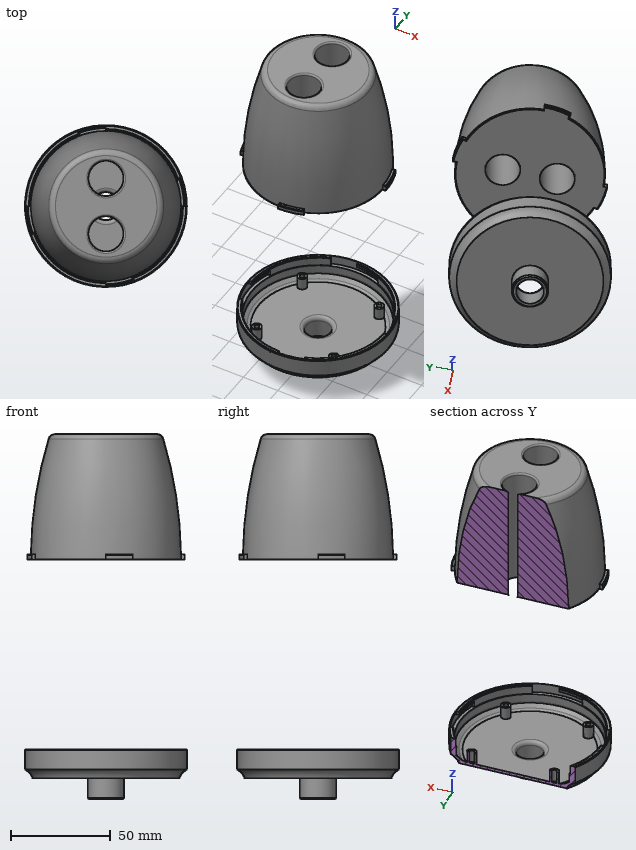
import cadquery as cq
import math

base_radius = 40.6
rim_z = 25.0
edge_break = 0.45
rim_wall = 2.4
rim_inner_radius = base_radius - rim_wall
seat_width = 0.4
lower_inner_radius = rim_inner_radius - seat_width
rim_foot_z = 15.5
rim_foot_height = 0.7
rim_foot_inset = 0.2
cove_depth = 0.5
underside_radius = 36.8
underside_z = 10.5
floor_z = 12.5
floor_radius = 33.9
floor_corner_radius = 35.7
floor_corner_rise = 0.7

spout_radius = 9.2
spout_chamfer = 0.7
bore_radius = 7.0
bore_fillet = spout_radius - bore_radius

boss_count = 4
boss_start_angle = 45
boss_ring_radius = 31.7
boss_radius = 2.5
boss_hole_radius = 1.3
boss_top_z = 19.2

lug_count = 4
lug_angle = 20.0
lug_height = 3.0
lug_radius = 39.5
slot_clearance = 0.4
slot_clearance_angle = 0.8
slot_floor_z = 20.0
slot_radius = lug_radius + slot_clearance
slot_height = lug_height + slot_clearance

cap_bottom_z = 119.9
cap_top_z = 183.0
cap_radius = 37.7
cap_top_radius = 28.0
cap_edge_fillet = 3.5
cap_hole_radius = 8.8
cap_hole_offset = 13.9
cap_hole_fillet = 1.0


def disc(radius, bottom, top):
    return cq.Workplane("XY").workplane(offset=bottom).circle(radius).extrude(top - bottom)


def sector(radius, start_angle, end_angle, bottom, top):
    """Pie slice around the Z axis between two angles in degrees."""

    def rim_point(angle):
        return radius * math.cos(math.radians(angle)), radius * math.sin(math.radians(angle))

    return (
        cq.Workplane("XY").workplane(offset=bottom)
        .lineTo(*rim_point(start_angle))
        .threePointArc(rim_point((start_angle + end_angle) / 2), rim_point(end_angle))
        .close()
        .extrude(top - bottom)
    )


def spin_copies(shape, count, start_angle=0):
    """Copies of a shape spaced evenly around the Z axis."""
    return [
        shape.rotate((0, 0, 0), (0, 0, 1), start_angle + 360 / count * i)
        for i in range(count)
    ]


def revolve_profile(profile):
    return profile.close().revolve(360, (0, 0, 0), (0, 1, 0))


def make_cup():
    """Thin-walled dish with a straight rim, a hollow-curved underside and a bored spout."""
    cove_start_radius = base_radius - rim_foot_inset
    cove_start_z = rim_foot_z - rim_foot_height
    return revolve_profile(
        cq.Workplane("XZ")
        .moveTo(bore_radius, 0)
        .lineTo(spout_radius - spout_chamfer, 0)
        .lineTo(spout_radius, spout_chamfer)
        .lineTo(spout_radius, underside_z)
        .lineTo(underside_radius, underside_z)
        .sagittaArc((cove_start_radius, cove_start_z), cove_depth)
        .lineTo(base_radius, rim_foot_z)
        .lineTo(base_radius, rim_z - edge_break)
        .lineTo(base_radius - edge_break, rim_z)
        .lineTo(rim_inner_radius + edge_break, rim_z)
        .lineTo(rim_inner_radius, rim_z - edge_break)
        .lineTo(rim_inner_radius, slot_floor_z)
        .lineTo(lower_inner_radius, slot_floor_z)
        .lineTo(lower_inner_radius, rim_foot_z)
        .lineTo(lower_inner_radius - rim_foot_inset, cove_start_z)
        .lineTo(floor_corner_radius, floor_z + floor_corner_rise)
        .lineTo(floor_radius, floor_z)
        .lineTo(bore_radius + bore_fillet, floor_z)
        .radiusArc((bore_radius, floor_z - bore_fillet), -bore_fillet)
    )


def add_bosses(base):
    boss = disc(boss_radius, floor_z, boss_top_z).translate((boss_ring_radius, 0, 0))
    hole = disc(boss_hole_radius, floor_z, boss_top_z).translate((boss_ring_radius, 0, 0))
    for boss_copy in spin_copies(boss, boss_count, boss_start_angle):
        base = base.union(boss_copy)
    for hole_copy in spin_copies(hole, boss_count, boss_start_angle):
        base = base.cut(hole_copy)
    return base


def cut_bayonet_slots(base):
    """Each slot opens upward over one lug width and runs on under the rim."""
    reach = lug_angle + slot_clearance_angle
    entry = sector(slot_radius, 0, reach, slot_floor_z, rim_z)
    undercut = sector(slot_radius, -reach, reach, slot_floor_z, slot_floor_z + slot_height)
    for slot in spin_copies(entry.union(undercut), lug_count):
        base = base.cut(slot)
    return base


def make_base():
    base = add_bosses(make_cup())
    return cut_bayonet_slots(base)


def make_cap_body():
    """Domed body whose side is an arc that leaves the foot straight up."""
    height = cap_top_z - cap_bottom_z
    inset = cap_radius - cap_top_radius
    side_radius = (height**2 + inset**2) / (2 * inset)
    half_angle = math.asin(height / side_radius) / 2
    side_middle = (
        cap_radius - side_radius * (1 - math.cos(half_angle)),
        cap_bottom_z + side_radius * math.sin(half_angle),
    )
    body = revolve_profile(
        cq.Workplane("XZ")
        .moveTo(0, cap_bottom_z)
        .lineTo(cap_radius, cap_bottom_z)
        .threePointArc(side_middle, (cap_top_radius, cap_top_z))
        .lineTo(0, cap_top_z)
    )
    return body.faces(">Z").edges().fillet(cap_edge_fillet).faces("<Z").edges().chamfer(edge_break)


def add_lugs(cap):
    lug_top_z = cap_bottom_z + lug_height
    lug = sector(lug_radius, 0, lug_angle, cap_bottom_z, lug_top_z)
    lug = lug.edges("%CIRCLE").chamfer(edge_break)
    for lug_copy in spin_copies(lug, lug_count):
        cap = cap.union(lug_copy)
    return cap


def cut_cap_holes(cap):
    for side in (-1, 1):
        hole = disc(cap_hole_radius, cap_bottom_z, cap_top_z)
        cap = cap.cut(hole.translate((0, side * cap_hole_offset, 0)))
    hole_rims = cap.faces(">Z").edges(cq.selectors.RadiusNthSelector(0))
    return hole_rims.fillet(cap_hole_fillet)


def make_cap():
    return cut_cap_holes(add_lugs(make_cap_body()))


base = make_base()
cap = make_cap()
result = cq.Compound.makeCompound([base.val(), cap.val()])